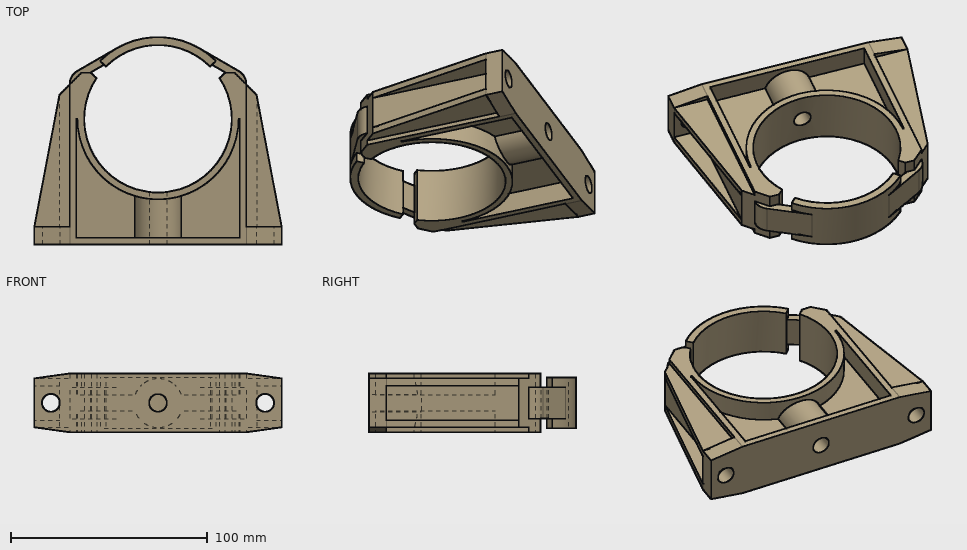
import cadquery as cq
import math


bore_radius = 37.5
seat_outer_radius = 41.0
base_y = -64.0

body_half_width = 45.0
body_height = 30.0
tip_y = 23.4
tip_outer_x = 39.0
tip_inner_x = 34.0
pocket_half_width = 41.6
base_wall = 3.4
web_thickness = 8.0

foot_half_width = 63.0
foot_length = 9.0
foot_end_height = 25.0
flange_top_x = 50.2
recess_height = 17.6

hole_diameter = 9.0
mount_hole_x = 54.5
boss_radius = 12.5

band_outer_radius = 41.64
band_height = 26.0
band_half_angle = math.radians(45)
strap_height = 16.0
strap_angle = math.radians(30)
strap_corner_radius = 8.0

shoulder_y = tip_y - (flange_top_x - tip_outer_x)
body_shoulder_y = tip_y - (body_half_width - tip_outer_x)
foot_top_y = base_y + foot_length
oversize = 2 * foot_half_width


def prism(points, height):
    """Extrude a closed outline along Z, centred on Z = 0."""
    return cq.Workplane("XY").polyline(points).close().extrude(height / 2, both=True)


def disc(radius, height):
    """Cylinder around the pipe axis, centred on Z = 0."""
    return cq.Workplane("XY").circle(radius).extrude(height / 2, both=True)


def mirrored(points):
    """Complete a right-hand outline with its mirror image across X = 0."""
    return points + [(-x, y) for x, y in reversed(points)]


def make_body():
    """Central block with shouldered, bevelled tips."""
    bevel_offset = tip_inner_x - tip_y
    bevel_end_x = (bevel_offset + math.sqrt(2 * bore_radius**2 - bevel_offset**2)) / 2
    bevel_end_y = bevel_end_x - bevel_offset
    outline = mirrored([
        (body_half_width, base_y),
        (body_half_width, body_shoulder_y),
        (tip_outer_x, tip_y),
        (tip_inner_x, tip_y),
        (bevel_end_x, bevel_end_y),
        (bevel_end_x, 0),
    ])
    return prism(outline, body_height)


def make_feet():
    """Base bar whose ends taper in height outside the body."""
    outline = mirrored([
        (body_half_width, -body_height / 2),
        (foot_half_width, -foot_end_height / 2),
        (foot_half_width, foot_end_height / 2),
        (body_half_width, body_height / 2),
    ])
    return (
        cq.Workplane("XZ", origin=(0, base_y, 0))
        .polyline(outline).close().extrude(-foot_length)
    )


def make_flanges():
    """Sloping side flanges with a recess between their two plates."""
    plate = prism(mirrored([
        (foot_half_width, base_y),
        (foot_half_width, foot_top_y),
        (flange_top_x, shoulder_y),
        (body_half_width, body_shoulder_y),
    ]), foot_end_height)
    recess_depth = foot_half_width - flange_top_x
    for side in (-1, 1):
        recess = cq.Workplane("XY").box(
            recess_depth, shoulder_y - foot_top_y, recess_height
        ).translate((side * (flange_top_x + recess_depth / 2), (shoulder_y + foot_top_y) / 2, 0))
        plate = plate.cut(recess)
    return plate


def make_pockets():
    """Pockets below the seat on both faces, leaving a central web."""
    bottom_y = base_y + base_wall
    outline = prism([
        (-pocket_half_width, bottom_y),
        (pocket_half_width, bottom_y),
        (pocket_half_width, 0),
        (-pocket_half_width, 0),
    ], body_height)
    web = cq.Workplane("XY").box(oversize, oversize, web_thickness)
    return outline.cut(disc(seat_outer_radius, body_height)).cut(web)


def make_boss():
    """Round boss from the base to the seat; its far end is trimmed by the bore."""
    return (
        cq.Workplane("XZ", origin=(0, base_y, 0))
        .circle(boss_radius).extrude(base_y + bore_radius)
    )


def hole_cutter(x, length):
    """Screw hole cutter running from the base face towards +Y."""
    return (
        cq.Workplane("XZ", origin=(x, base_y, 0))
        .circle(hole_diameter / 2).extrude(-length)
    )


def make_holes():
    """Mounting holes through the feet and a screw hole through the boss into the bore."""
    return (
        hole_cutter(0, -base_y)
        .union(hole_cutter(-mount_hole_x, foot_length))
        .union(hole_cutter(mount_hole_x, foot_length))
    )


def make_band():
    """Closing arc above the bore."""
    reach = oversize * math.tan(band_half_angle)
    sector = prism([(0, 0), (reach, oversize), (-reach, oversize)], band_height)
    return disc(band_outer_radius, band_height).intersect(sector)


def make_straps():
    """Straight straps, tangent to the band, that join it to the body tips."""
    cos_a = math.cos(strap_angle)
    sin_a = math.sin(strap_angle)

    def line_y(radius, x):
        return (radius - x * sin_a) / cos_a

    start_x = band_outer_radius * sin_a
    inner_start_x = bore_radius * sin_a
    corner_y = line_y(band_outer_radius, body_half_width)
    outline = [
        (start_x, line_y(band_outer_radius, start_x)),
        (body_half_width, corner_y),
        (body_half_width, body_shoulder_y),
        (tip_inner_x, line_y(bore_radius, tip_inner_x)),
        (inner_start_x, line_y(bore_radius, inner_start_x)),
    ]
    strap = prism(outline, strap_height)
    strap = strap.edges(
        cq.selectors.NearestToPointSelector((body_half_width, corner_y, 0))
    ).fillet(strap_corner_radius)
    return strap.union(strap.mirror("YZ"))


body = make_body().union(make_feet()).union(make_flanges())
saddle = body.cut(make_pockets()).union(make_boss())
clip = saddle.union(make_band()).cut(disc(bore_radius, body_height))
result = clip.union(make_straps()).cut(make_holes())